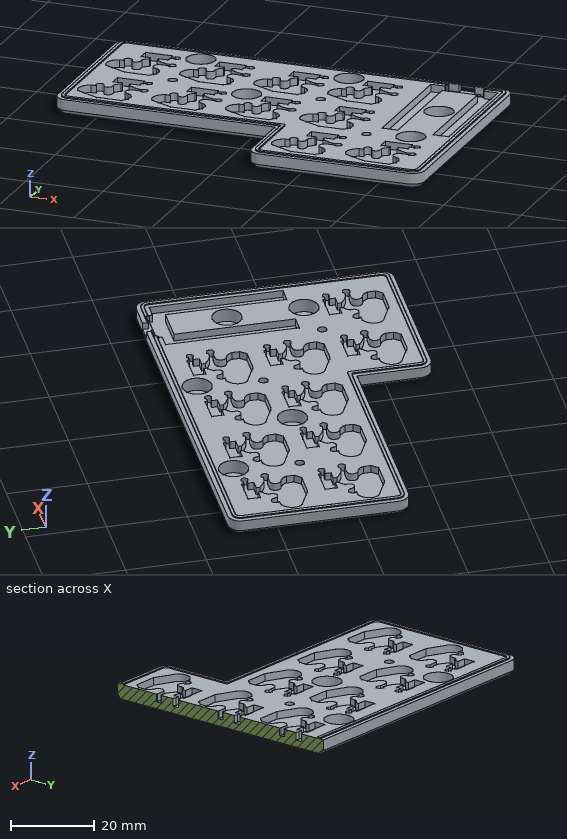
import cadquery as cq
length = 101.8
width = 63.8
height = 4.2
grid_columns = 5
grid_rows = 3
margin_x = 3.3
pitch = (length - 2 * margin_x) / grid_columns
margin_y = (width - grid_rows * pitch) / 2
corner_radius = 3.2
base_chamfer_in = 1.0
base_chamfer_up = 1.1

lip_height = 0.3
lip_outer_inset = 1.1
lip_inner_inset = 1.9
lip_notch_radius = 0.4
deck = height - lip_height

socket_depth = 1.9
socket_leg_ends = [(5.1, 5.2, 0.8), (5.8, 0.0, 0.9), (-5.6, 0.0, 1.0)]
socket_cells = [(col, row) for row in (1, 2) for col in range(4)] + [(3, 0), (4, 0)]

pin_diameter = 2.2
pin_grid_nodes = [(1, 2), (3, 2), (4, 1)]
magnet_diameter = 7.2
magnet_depth = 3.5
magnet_grid_nodes = [(1, 3), (3, 3), (2, 2)]
magnet_offset_x = 1.1
magnet_offset_y = -3.0

bay_center_x = 90.1
bay_width = 17.2
bay_bottom = 27.6
bay_top = 60.7
bay_depth = 1.9
island_width = 9.1
island_top = 57.6
bay_magnet_y = 43.5

port_depth = 1.7
plug_width = 4.0
shell_width = 9.2
shell_back = width - 1.4
recess_width = 10.1
recess_back = width - 2.3


def plan(inset, z, notch_radius=0.0, rise=1.0):
    """L-shaped block whose sides lie `inset` inside the plate edge."""
    step_x = 3 * pitch + inset
    step_y = pitch + inset
    block = (
        cq.Workplane("XY", origin=(0, 0, z))
        .moveTo(inset, step_y)
        .lineTo(step_x, step_y)
        .lineTo(step_x, inset)
        .lineTo(length - inset, inset)
        .lineTo(length - inset, width - inset)
        .lineTo(inset, width - inset)
        .close()
        .extrude(rise)
    )
    reentrant = cq.selectors.BoxSelector(
        (step_x - 0.1, step_y - 0.1, z - 0.1), (step_x + 0.1, step_y + 0.1, z + rise + 0.1)
    )
    upright = block.edges("|Z")
    convex = upright.edges(cq.selectors.InverseSelector(reentrant))
    block = convex.fillet(corner_radius - inset)
    if notch_radius:
        block = block.edges("|Z").edges(reentrant).fillet(notch_radius)
    return block


def plate():
    body = plan(0, 0, rise=deck)
    body = body.faces("<Z").edges().chamfer(base_chamfer_up, base_chamfer_in)
    rim = plan(lip_outer_inset, deck, lip_notch_radius, lip_height)
    rim = rim.cut(plan(lip_inner_inset, deck, lip_notch_radius, lip_height))
    return body.union(rim)


def block(x_size, y_low, y_high, z_low, z_high):
    """Box centred on the bay in X."""
    return (
        cq.Workplane("XY", origin=(bay_center_x, (y_low + y_high) / 2, z_low))
        .rect(x_size, y_high - y_low)
        .extrude(z_high - z_low)
    )


def bay():
    floor = deck - bay_depth
    pocket = block(bay_width, bay_bottom, bay_top, floor, deck)
    pocket = pocket.cut(block(island_width, bay_bottom, island_top, floor, deck))
    return pocket.union(block(recess_width, bay_top, recess_back, floor, deck))


def port():
    floor = deck - port_depth
    shell = block(shell_width, recess_back, shell_back, floor, height)
    return shell.union(block(plug_width, shell_back, width, floor, height))


def socket():
    """One key socket, drawn about the centre of its cell."""
    pocket = (
        cq.Workplane("XY")
        .moveTo(-3.5, 6.3)
        .lineTo(3.5, 6.3)
        .lineTo(3.5, 5.7)
        .lineTo(5.1, 5.7)
        .lineTo(5.1, 4.7)
        .lineTo(3.5, 4.7)
        .lineTo(3.5, 3.3)
        .lineTo(1.0, 3.3)
        .lineTo(1.0, 2.3)
        .threePointArc((2.5, 1.2), (4.3, 0.5))
        .lineTo(5.8, 0.5)
        .lineTo(5.8, -0.5)
        .lineTo(3.1, -0.5)
        .threePointArc((1.7, -2.1), (3.0, -3.4))
        .threePointArc((3.8, -4.0), (4.4, -5.0))
        .lineTo(4.4, -6.9)
        .lineTo(3.1, -8.5)
        .lineTo(-3.3, -8.5)
        .lineTo(-8.1, -6.1)
        .threePointArc((-9.3, -5.3), (-9.7, -4.1))
        .threePointArc((-9.1, -1.9), (-7.5, -0.8))
        .lineTo(-6.1, -0.8)
        .lineTo(-6.1, 0.0)
        .lineTo(-4.6, 0.0)
        .threePointArc((-3.5, -0.9), (-2.4, 0.0))
        .lineTo(-2.4, 1.0)
        .threePointArc((-1.9, 1.8), (-1.0, 2.3))
        .lineTo(-1.0, 3.3)
        .lineTo(-3.5, 3.3)
        .close()
        .extrude(socket_depth)
    )
    for x, y, radius in socket_leg_ends:
        leg_end = cq.Workplane("XY").center(x, y).circle(radius).extrude(socket_depth)
        pocket = pocket.union(leg_end)
    return pocket


def grid_point(col, row):
    """Point on the key grid; whole numbers are its nodes and halves are cell centres."""
    return (margin_x + col * pitch, margin_y + row * pitch)


def sockets():
    centers = [grid_point(col + 0.5, row + 0.5) for col, row in socket_cells]
    pocket = socket()
    cutter = cq.Workplane("XY")
    for x, y in centers:
        cutter = cutter.add(pocket.translate((x, y, deck - socket_depth)))
    return cutter.combine()


def pin_holes():
    centers = [grid_point(col, row) for col, row in pin_grid_nodes]
    return cq.Workplane("XY").pushPoints(centers).circle(pin_diameter / 2).extrude(deck)


def magnet_holes():
    centers = [(bay_center_x, bay_magnet_y), (bay_center_x, bay_magnet_y - pitch)]
    for col, row in magnet_grid_nodes:
        x, y = grid_point(col, row)
        centers.append((x + magnet_offset_x, y + magnet_offset_y))
    return (
        cq.Workplane("XY", origin=(0, 0, deck - magnet_depth))
        .pushPoints(centers)
        .circle(magnet_diameter / 2)
        .extrude(magnet_depth)
    )


result = plate()
for cutter in (bay(), port(), sockets(), pin_holes(), magnet_holes()):
    result = result.cut(cutter)